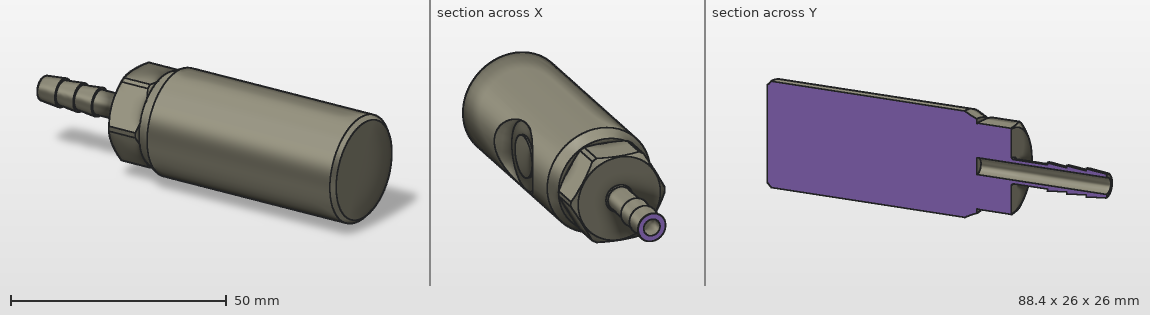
import cadquery as cq
import math

total_length = 88.4
nut_start = 24.75
nut_end = 33.8
cone_end = 36.95

stem_radius = 6.0 / 2
bore_radius = 4.0 / 2
barb_crest_radius = 7.0 / 2
barb_count = 3
first_crest = 5.4
barb_pitch = 5.0
barb_land = 0.2
tip_chamfer = 0.3
stem_root_chamfer = 0.35

nut_across_flats = 21.0
nut_corner_radius = 23.6 / 2
nut_face_radius = 20.7 / 2
nut_bevel_angle = 30.0
nut_bevel_length = (nut_corner_radius - nut_face_radius) * math.tan(math.radians(nut_bevel_angle))

body_radius = 26.0 / 2
cone_start_radius = 11.5
end_chamfer = 1.1

recess_x = 57.1
recess_floor_radius = 16.6 / 2
recess_floor_y = 9.9
button_radius = 10.2 / 2
button_top_y = 10.4


def revolve_about_x(points):
    """Turn a closed (x, radius) outline around the X axis."""
    return cq.Workplane("XY").polyline(points).close().revolve(360, (0, 0, 0), (1, 0, 0))


def make_stem():
    """Hose stem: each barb tapers outwards and ends in a square step."""
    points = [(0, 0), (0, stem_radius - tip_chamfer), (tip_chamfer, stem_radius)]
    for index in range(barb_count):
        crest = first_crest + index * barb_pitch
        points += [
            (crest - barb_land, barb_crest_radius),
            (crest, barb_crest_radius),
            (crest, stem_radius),
        ]
    points += [
        (nut_start - stem_root_chamfer, stem_radius),
        (nut_start, stem_radius + stem_root_chamfer),
        (nut_start, 0),
    ]
    return revolve_about_x(points)


def make_nut():
    """Hexagon with flats facing +Z and -Z, trimmed by a bevelled round blank."""
    across_corners = nut_across_flats / math.cos(math.pi / 6)
    hexagon = (
        cq.Workplane("YZ", origin=(nut_start, 0, 0))
        .polygon(6, across_corners)
        .extrude(nut_end - nut_start)
    )
    blank = revolve_about_x([
        (nut_start, 0),
        (nut_start, nut_face_radius),
        (nut_start + nut_bevel_length, nut_corner_radius),
        (nut_end - nut_bevel_length, nut_corner_radius),
        (nut_end, nut_face_radius),
        (nut_end, 0),
    ])
    return hexagon.intersect(blank)


def make_body():
    """Body with a conical shoulder and a chamfered end."""
    return revolve_about_x([
        (nut_end, 0),
        (nut_end, cone_start_radius),
        (cone_end, body_radius),
        (total_length - end_chamfer, body_radius),
        (total_length, body_radius - end_chamfer),
        (total_length, 0),
    ])


def make_button_recess():
    """Conical recess around a flat-topped button, turned about the Y direction."""
    recess_top_radius = recess_floor_radius + body_radius - recess_floor_y
    return (
        cq.Workplane("XY", origin=(recess_x, 0, 0))
        .moveTo(0, button_top_y)
        .lineTo(button_radius, button_top_y)
        .lineTo(button_radius, recess_floor_y)
        .lineTo(recess_floor_radius, recess_floor_y)
        .lineTo(recess_top_radius, body_radius)
        .lineTo(0, body_radius)
        .close()
        .revolve(360, (0, 0, 0), (0, 1, 0))
    )


def make_bore():
    """Blind bore running from the hose tip through the stem and the nut."""
    return cq.Workplane("YZ").circle(bore_radius).extrude(nut_end)


result = (
    make_body()
    .union(make_nut())
    .union(make_stem())
    .cut(make_button_recess())
    .cut(make_bore())
)